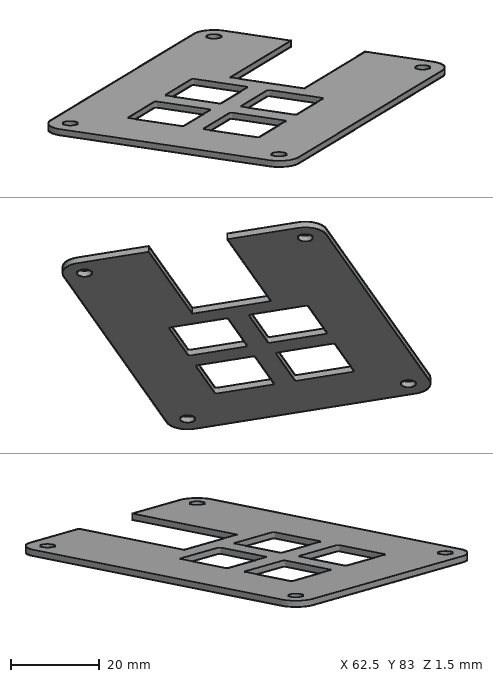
import cadquery as cq

plate_width = 62.5
plate_length = 83.0
plate_thickness = 1.5
corner_radius = 5.0

mount_hole_diameter = 3.4
mount_spacing_x = plate_width - 2 * corner_radius
mount_spacing_y = plate_length - 2 * corner_radius

key_size = 14.0
key_pitch = 19.0
key_corner_radius = 0.5
keys_per_side = 2
key_grid_from_front = 30.9
key_grid_y = key_grid_from_front - plate_length / 2

notch_width = 18.7
notch_depth = 31.0


def make_plate():
    return (
        cq.Workplane("XY")
        .box(plate_width, plate_length, plate_thickness, centered=(True, True, False))
        .edges("|Z")
        .fillet(corner_radius)
    )


def make_mount_holes():
    return (
        cq.Workplane("XY")
        .rect(mount_spacing_x, mount_spacing_y, forConstruction=True)
        .vertices()
        .circle(mount_hole_diameter / 2)
        .extrude(plate_thickness)
    )


def make_key_openings():
    return (
        cq.Workplane("XY")
        .center(0, key_grid_y)
        .rarray(key_pitch, key_pitch, keys_per_side, keys_per_side)
        .rect(key_size, key_size)
        .extrude(plate_thickness)
        .edges("|Z")
        .fillet(key_corner_radius)
    )


def make_notch():
    return (
        cq.Workplane("XY")
        .center(0, plate_length / 2 - notch_depth / 2)
        .rect(notch_width, notch_depth)
        .extrude(plate_thickness)
    )


result = make_plate().cut(make_mount_holes()).cut(make_key_openings()).cut(make_notch())